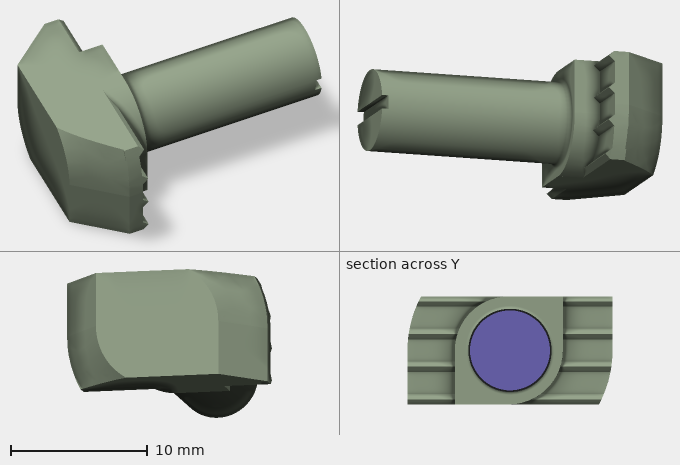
import cadquery as cq

total_length = 21.0
head_width = 15.0
head_thickness = 7.9

taper_height = 3.5
wing_height = 4.58
shoulder_height = 6.5

face_half_width = 4.58
shank_radius = 3.0
root_fillet = 0.25

slot_width = 1.0
slot_depth = 0.48

tooth_pitch = 2.4
tooth_height = 0.46
tooth_width = 0.8
tooth_count = 4

half_width = head_width / 2
half_thickness = head_thickness / 2
neck_radius = half_thickness

neck_offset = 0.08

wing_end_radius = 8.34
wing_end_offset = wing_end_radius - half_width


def corner_block(x_side, z_side):
    """Box filling one X/Z quadrant of the head."""
    block = cq.Workplane("XY").box(half_width, shoulder_height, half_thickness)
    return block.translate((x_side * half_width / 2, shoulder_height / 2, z_side * half_thickness / 2))


def wing_profile():
    """Half section of the tapered wings, measured from the bolt axis."""
    return cq.Workplane("XY").polyline(
        [(0, 0), (face_half_width, 0), (half_width, taper_height), (half_width, wing_height), (0, wing_height)]
    ).close()


def make_teeth():
    """Triangular ridges running along the wings."""
    teeth = cq.Workplane("XY")
    for index in range(tooth_count):
        z = (index - (tooth_count - 1) / 2) * tooth_pitch
        ridge = (
            cq.Workplane("YZ")
            .polyline(
                [
                    (0, z - tooth_width / 2),
                    (wing_height, z - tooth_width / 2),
                    (wing_height + tooth_height, z),
                    (wing_height, z + tooth_width / 2),
                    (0, z + tooth_width / 2),
                ]
            )
            .close()
            .extrude(half_width, both=True)
        )
        teeth = teeth.add(ridge)
    return teeth.combine()


def turned_wings():
    """Cone about the bolt axis, still unbounded by the wing end arcs."""
    taper_slope = (half_width - face_half_width) / taper_height
    wing_top_radius = face_half_width + taper_slope * wing_height
    return (
        cq.Workplane("XY")
        .polyline([(0, 0), (face_half_width, 0), (wing_top_radius, wing_height), (0, wing_height)])
        .close()
        .revolve(360, (0, 0, 0), (0, 1, 0))
    )


def square_wings():
    """Wings of constant section through the thickness."""
    half = wing_profile().extrude(half_thickness, both=True)
    return half.union(half.mirror("YZ"))


def cylinder_to_shoulder(radius, x_center):
    """Cylinder parallel to the bolt axis, from the head face to the shoulder."""
    return cq.Workplane("XZ").center(x_center, 0).circle(radius).extrude(-shoulder_height)


def box_about_axis(width, thickness, start, end):
    """Box centred on the bolt axis between two heights."""
    box = cq.Workplane("XY").box(width, end - start, thickness)
    return box.translate((0, (start + end) / 2, 0))


def make_head():
    """Two opposite quadrants are rounded, so the head can swivel; the others are square stops."""
    above_taper = box_about_axis(head_width, head_thickness, taper_height, shoulder_height)
    teeth = make_teeth().intersect(above_taper)
    round_neck = cylinder_to_shoulder(neck_radius, neck_offset)
    square_neck = box_about_axis(2 * neck_radius, head_thickness, 0, shoulder_height)
    square_neck = square_neck.translate((neck_offset, 0, 0))

    rounded = turned_wings().union(teeth)
    square = square_wings().union(teeth).union(square_neck)

    head = square.intersect(corner_block(-1, 1)).union(square.intersect(corner_block(1, -1)))
    for side in (1, -1):
        wing_end = cylinder_to_shoulder(wing_end_radius, -side * wing_end_offset)
        quadrant = rounded.intersect(wing_end).union(round_neck)
        head = head.union(quadrant.intersect(corner_block(side, side)))
    return head


def make_shank():
    """Shank with a concave root fillet and a slotted tip."""
    shank = (
        cq.Workplane("XY")
        .lineTo(shank_radius + root_fillet, 0)
        .lineTo(shank_radius + root_fillet, shoulder_height)
        .radiusArc((shank_radius, shoulder_height + root_fillet), root_fillet)
        .lineTo(shank_radius, total_length)
        .lineTo(0, total_length)
        .close()
        .revolve(360, (0, 0, 0), (0, 1, 0))
    )
    slot = box_about_axis(2 * shank_radius, slot_width, total_length - slot_depth, total_length)
    return shank.cut(slot)


result = make_head().union(make_shank())